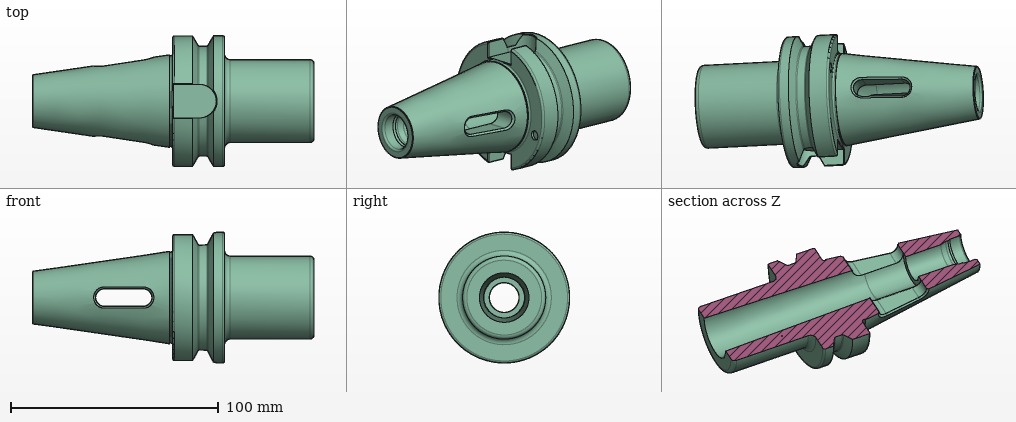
import cadquery as cq
import math


gauge_diameter = 44.45
shank_length = 65.4
shank_taper = 7 / 24
shank_end_chamfer = 0.3
taper_overrun = 0.4
relief_depth = 0.35
relief_root_round = 0.9

flange_diameter = 63.0
flange_start = 2.0
flange_end = 27.0
flange_round = 1.0
groove_center = 16.6
groove_floor_diameter = 53.0
groove_mouth_width = 10.1
groove_half_angle = 30.0
groove_root_round = 0.6

nose_diameter = 40.0
nose_end = 70.0
nose_root_round = 2.7
nose_end_round = 2.0

socket_diameter = 23.825
socket_taper = 1 / 19.922
socket_depth = 84.0
drift_edge_depth = 78.0

pilot_diameter = 17.0
pilot_depth = 6.2
pilot_mouth_round = 1.0
thread_clearance_diameter = 16.0
thread_clearance_length = 1.3
thread_bore_diameter = 14.2
pilot_cone_length = 1.2
thread_cone_length = 3.0

drift_length = 27.0
drift_width = 8.3
drift_chamfer = 1.0

keyway_width = 16.1
keyway_floor = 22.6
keyway_end = 23.0
keyway_edge_chamfer = 0.4

coolant_circle_radius = 27.0
coolant_angle = 20.0
coolant_diameter = 4.5
coolant_depth = 1.2

selection_margin = 0.01

arc_inset = 1 - math.sqrt(0.5)

gauge_radius = gauge_diameter / 2
flange_radius = flange_diameter / 2
shank_end_radius = gauge_radius - shank_length * shank_taper / 2


def make_body():
    """Revolved outside shape: shank, grooved flange and nose."""
    floor_radius = groove_floor_diameter / 2
    nose_radius = nose_diameter / 2
    relief_radius = gauge_radius - relief_depth
    mouth_half = groove_mouth_width / 2
    floor_half = mouth_half - (flange_radius - floor_radius) * math.tan(math.radians(groove_half_angle))
    rim_middle = flange_radius - flange_round * arc_inset
    nose_middle = nose_end_round * arc_inset
    relief_middle = relief_root_round * arc_inset
    root_middle = nose_root_round * arc_inset
    profile = (
        cq.Workplane("XY")
        .moveTo(-shank_length, 0)
        .lineTo(-shank_length, shank_end_radius - shank_end_chamfer)
        .lineTo(-shank_length + shank_end_chamfer, shank_end_radius + shank_end_chamfer * shank_taper / 2)
        .lineTo(taper_overrun, gauge_radius + taper_overrun * shank_taper / 2)
        .lineTo(taper_overrun, relief_radius)
        .lineTo(flange_start - relief_root_round, relief_radius)
        .threePointArc(
            (flange_start - relief_middle, relief_radius + relief_middle),
            (flange_start, relief_radius + relief_root_round),
        )
        .lineTo(flange_start, flange_radius - flange_round)
        .threePointArc(
            (flange_start + flange_round * arc_inset, rim_middle),
            (flange_start + flange_round, flange_radius),
        )
        .lineTo(groove_center - mouth_half, flange_radius)
        .lineTo(groove_center - floor_half, floor_radius)
        .lineTo(groove_center + floor_half, floor_radius)
        .lineTo(groove_center + mouth_half, flange_radius)
        .lineTo(flange_end - flange_round, flange_radius)
        .threePointArc(
            (flange_end - flange_round * arc_inset, rim_middle),
            (flange_end, flange_radius - flange_round),
        )
        .lineTo(flange_end, nose_radius + nose_root_round)
        .threePointArc(
            (flange_end + root_middle, nose_radius + root_middle),
            (flange_end + nose_root_round, nose_radius),
        )
        .lineTo(nose_end - nose_end_round, nose_radius)
        .threePointArc(
            (nose_end - nose_middle, nose_radius - nose_middle),
            (nose_end, nose_radius - nose_end_round),
        )
        .lineTo(nose_end, 0)
        .close()
    )
    turned = profile.revolve(360, (0, 0, 0), (1, 0, 0))
    groove_roots = cq.selectors.BoxSelector(
        (groove_center - mouth_half + groove_root_round, -floor_radius, -floor_radius),
        (groove_center + mouth_half - groove_root_round, floor_radius, floor_radius),
    )
    return turned.edges("%CIRCLE").edges(groove_roots).fillet(groove_root_round)


def make_bore():
    """Revolved inside shape: pilot, thread bore and Morse socket."""
    pilot_radius = pilot_diameter / 2
    thread_radius = thread_bore_diameter / 2
    mouth_radius = socket_diameter / 2
    clearance_radius = thread_clearance_diameter / 2
    mouth_middle = pilot_mouth_round * arc_inset
    pilot_end = -shank_length + pilot_depth
    clearance_start = pilot_end + pilot_cone_length
    clearance_end = clearance_start + thread_clearance_length
    socket_bottom = nose_end - drift_edge_depth - drift_length
    socket_end = nose_end - socket_depth
    socket_end_radius = mouth_radius - socket_depth * socket_taper / 2
    profile = (
        cq.Workplane("XY")
        .moveTo(-shank_length, 0)
        .lineTo(-shank_length, pilot_radius + pilot_mouth_round)
        .threePointArc(
            (-shank_length + mouth_middle, pilot_radius + mouth_middle),
            (-shank_length + pilot_mouth_round, pilot_radius),
        )
        .lineTo(pilot_end, pilot_radius)
        .lineTo(clearance_start, clearance_radius)
        .lineTo(clearance_end, clearance_radius)
        .lineTo(clearance_end + thread_cone_length, thread_radius)
        .lineTo(socket_bottom, thread_radius)
        .lineTo(socket_bottom, socket_end_radius)
        .lineTo(socket_end, socket_end_radius)
        .lineTo(nose_end, mouth_radius)
        .lineTo(nose_end, 0)
        .close()
    )
    return profile.revolve(360, (0, 0, 0), (1, 0, 0))


def cut_drift_slot(part):
    """Round-ended slot through the shank along Y with chamfered mouths."""
    center_x = nose_end - drift_edge_depth - drift_length / 2
    slot = (
        cq.Workplane("XZ")
        .center(center_x, 0)
        .slot2D(drift_length, drift_width)
        .extrude(gauge_radius, both=True)
    )
    mouth_reach = drift_length / 2 + drift_chamfer / 2
    mouths = cq.selectors.BoxSelector(
        (center_x - mouth_reach, -flange_radius, -drift_width),
        (center_x + mouth_reach, flange_radius, drift_width),
    )
    slotted = part.cut(slot)
    return slotted.edges(mouths).chamfer(drift_chamfer)


def make_keyway(side):
    """Flat-floored keyway with a round end; side is +1 for +Z, -1 for -Z."""
    end_radius = keyway_width / 2
    straight_end = keyway_end - end_radius
    keyway_reach = flange_radius
    outline = (
        cq.Workplane("XY")
        .workplane(offset=side * keyway_floor)
        .moveTo(0, -end_radius)
        .lineTo(straight_end, -end_radius)
        .threePointArc((keyway_end, 0), (straight_end, end_radius))
        .lineTo(0, end_radius)
        .close()
    )
    return outline.extrude(side * keyway_reach)


def make_coolant_holes():
    """Pair of opposite blind holes sunk from the shank side of the flange."""
    return (
        cq.Workplane("YZ")
        .workplane(offset=flange_start)
        .polarArray(coolant_circle_radius, coolant_angle, 360, 2)
        .circle(coolant_diameter / 2)
        .extrude(coolant_depth)
    )


def keyway_edges(part, side, start, end):
    """Edges of one keyway whose centers lie between two places along X."""
    near_wall = keyway_width / 2 + selection_margin
    floor = side * (keyway_floor - selection_margin)
    rim = side * (flange_radius + selection_margin)
    region = cq.selectors.BoxSelector(
        (start - selection_margin, -near_wall, min(floor, rim)),
        (end + selection_margin, near_wall, max(floor, rim)),
    )
    return part.edges(region)


def cut_keyways(part):
    """Two opposite keyways with their flange-face and rim edges chamfered."""
    groove_end = groove_center + groove_mouth_width / 2
    for side in (1, -1):
        part = part.cut(make_keyway(side))
        face_edges = keyway_edges(part, side, flange_start, flange_start)
        end_edge = keyway_edges(part, side, groove_end, keyway_end)
        part = face_edges.add(end_edge).chamfer(keyway_edge_chamfer)
    return part


body = cut_keyways(cut_drift_slot(make_body()))
result = body.cut(make_coolant_holes()).cut(make_bore())